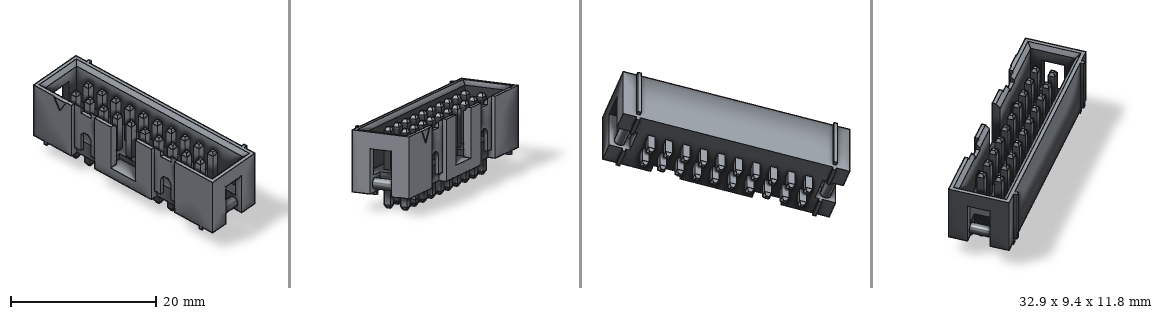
import cadquery as cq


body_length = 32.9
body_depth = 8.8
body_height = 8.8
wall_thickness = 1.15
lead_in = 0.6
floor_top = 2.5
front_y = -body_depth / 2
inner_front_y = front_y + wall_thickness

pin_columns = 10
pin_rows = 2
pin_pitch = 2.54
pin_width = 1.0
pin_tip_width = 0.45
pin_taper = 0.5
pin_top = body_height - 0.3
pin_bottom = -3.0

rib_width = 0.5
rib_projection = 0.5
rib_inset = 2.2
rib_x = body_length / 2 - rib_inset
back_rib_bottom = 0.6

end_slot_length = 3.0
end_slot_width = 3.3
end_slot_top = body_height - 2.35
bar_radius = 0.75
bar_inset = 1.5
bar_z = 1.25

key_width = 4.5
key_bottom = 1.65
key_pocket_width = 5.5
key_pocket_depth = 2.4

latch_x = 7.35
latch_width = 4.25
latch_depth = 0.6
latch_foot_height = 1.2
latch_opening_width = 1.9
latch_arch_top = 4.6
latch_notch_depth = 1.0

mark_width = 2.25
mark_height = 1.9
mark_thickness = 0.1
mark_x = -11.55


def block(center_x, width, y_start, y_end, z_start, z_end):
    """Box centred on center_x that spans the given Y and Z ranges."""
    size = (width, y_end - y_start, z_end - z_start)
    return cq.Workplane("XY").box(*size, centered=(True, False, False)).translate((center_x, y_start, z_start))


def shrouded_body():
    body = block(0, body_length, front_y, -front_y, 0, body_height)
    cavity_length = body_length - 2 * wall_thickness
    cavity = block(0, cavity_length, inner_front_y, -inner_front_y, floor_top, body_height)
    mouth = (
        cq.Workplane("XY", origin=(0, 0, body_height - lead_in))
        .rect(cavity_length, -2 * inner_front_y)
        .workplane(offset=lead_in)
        .rect(cavity_length + 2 * lead_in, -2 * inner_front_y + 2 * lead_in)
        .loft(ruled=True)
    )
    return body.cut(cavity).cut(mouth)


def ribs(center_x):
    under = block(center_x, rib_width, front_y, -front_y, -rib_projection, 0)
    back = block(center_x, rib_width, -front_y, -front_y + rib_projection, back_rib_bottom, body_height)
    return under.union(back)


def end_slot(side):
    center_x = side * (body_length - end_slot_length) / 2
    half_width = end_slot_width / 2
    return block(center_x, end_slot_length, -half_width, half_width, -rib_projection, end_slot_top)


def end_bar(side):
    center_x = side * (body_length / 2 - bar_inset)
    return (
        cq.Workplane("XZ", origin=(center_x, 0, bar_z))
        .circle(bar_radius)
        .extrude(end_slot_width / 2, both=True)
    )


def key_slot():
    slot = block(0, key_width, front_y, inner_front_y, key_bottom, body_height)
    pocket = block(0, key_pocket_width, inner_front_y, front_y + key_pocket_depth, key_bottom, floor_top)
    return slot.union(pocket)


def latch_recess(center_x):
    recess = block(center_x, latch_width, front_y, front_y + latch_depth, 0, body_height)
    foot = block(center_x, latch_width, front_y, inner_front_y, 0, latch_foot_height)
    notch_bottom = body_height - latch_notch_depth
    notch = block(center_x, latch_opening_width, front_y, inner_front_y, notch_bottom, body_height)
    half_opening = latch_opening_width / 2
    spring_z = latch_arch_top - half_opening
    arch = (
        cq.Workplane("XZ", origin=(center_x, inner_front_y, 0))
        .moveTo(-half_opening, 0)
        .lineTo(half_opening, 0)
        .lineTo(half_opening, spring_z)
        .threePointArc((0, latch_arch_top), (-half_opening, spring_z))
        .close()
        .extrude(wall_thickness)
    )
    return recess.union(foot).union(notch).union(arch)


def pin_one_mark():
    return (
        cq.Workplane("XZ", origin=(mark_x, front_y, body_height))
        .polyline([(-mark_width / 2, 0), (mark_width / 2, 0), (0, -mark_height)])
        .close()
        .extrude(mark_thickness)
    )


def pin():
    shank_bottom = pin_bottom + pin_taper
    shank_top = pin_top - pin_taper
    half_width = pin_width / 2
    shank = block(0, pin_width, -half_width, half_width, shank_bottom, shank_top)
    for shoulder_z, taper in ((shank_top, pin_taper), (shank_bottom, -pin_taper)):
        tip = (
            cq.Workplane("XY", origin=(0, 0, shoulder_z))
            .rect(pin_width, pin_width)
            .workplane(offset=taper)
            .rect(pin_tip_width, pin_tip_width)
            .loft(ruled=True)
        )
        shank = shank.union(tip)
    return shank


result = shrouded_body().union(pin_one_mark()).cut(key_slot())

for side in (-1, 1):
    result = result.union(ribs(side * rib_x))
    result = result.cut(end_slot(side)).union(end_bar(side))
    result = result.cut(latch_recess(side * latch_x))

header_pin = pin()
for column in range(pin_columns):
    for row in range(pin_rows):
        pin_x = (column - (pin_columns - 1) / 2) * pin_pitch
        pin_y = (row - (pin_rows - 1) / 2) * pin_pitch
        result = result.union(header_pin.translate((pin_x, pin_y, 0)))